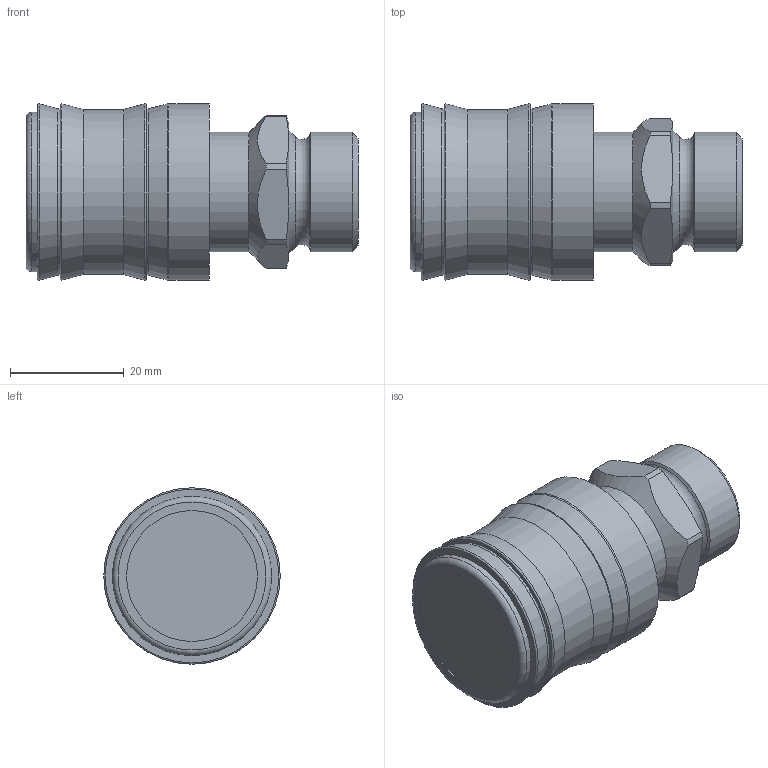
import cadquery as cq
import math


SLEEVE_D = 31.0
GRIP_D = 29.0
NOSE_D = 28.0
PLUG_D = 23.0
RELIEF_D = 29.25

NOSE_FILLET = 1.0
RIM_1_FACE = 2.0
RIM_2_FACE = 6.0
RIM_3_FACE = 21.15
RELIEF_3_END = 21.5
BAND_START = 24.95
BAND_BLEND_RADIUS = 1.3
SLEEVE_END = 32.2
RIM_RADIUS = 0.25
RIM_SLOPE = math.radians(15)
PLUG_RECESS = 0.1

NECK_D = 21.0
HEX_SIDES = 6
HEX_ACROSS_FLATS = 24.0
HEX_CORNER_D = 27.1
HEX_TURN = 10.4
HEX_START = 39.15
HEX_END = 46.2
HEX_END_FACE_D = 23.6
HEX_END_SLOPE = math.radians(15)

THREAD_D = 20.95
THREAD_START = 50.05
THREAD_CHAMFER = 1.0
GROOVE_D = 18.45
GROOVE_RADIUS = 1.6
GROOVE_HEX_FLANK = math.radians(45)
GROOVE_THREAD_FLANK = math.radians(60)
TOTAL_LENGTH = 58.33


def revolve_about_x(profile):
    """Close an (x, radius) outline and spin it fully about the X axis."""
    return profile.close().revolve(360, (0, 0, 0), (1, 0, 0))


def add_rim(profile, face_x, direction):
    """Add a rounded rim: radial face at face_x and a cone falling away in the given X direction.

    Direction +1 draws face to cone, -1 draws cone to face, so the outline always runs along +X.
    """
    centre_x = face_x + direction * RIM_RADIUS
    centre_r = SLEEVE_D / 2 - RIM_RADIUS
    face_point = (face_x, centre_r)
    half_turn = (math.pi / 2 - RIM_SLOPE) / 2
    mid_point = (
        centre_x - direction * RIM_RADIUS * math.sin(half_turn),
        centre_r + RIM_RADIUS * math.cos(half_turn),
    )
    cone_point = (
        centre_x + direction * RIM_RADIUS * math.sin(RIM_SLOPE),
        centre_r + RIM_RADIUS * math.cos(RIM_SLOPE),
    )
    if direction > 0:
        return profile.lineTo(*face_point).threePointArc(mid_point, cone_point)
    return profile.lineTo(*cone_point).threePointArc(mid_point, face_point)


def cone_run(face_x, direction, end_radius):
    """X position at which the cone of a rim has fallen to end_radius."""
    cone_x = face_x + direction * RIM_RADIUS * (1 + math.sin(RIM_SLOPE))
    cone_r = SLEEVE_D / 2 - RIM_RADIUS * (1 - math.cos(RIM_SLOPE))
    return cone_x + direction * (cone_r - end_radius) / math.tan(RIM_SLOPE)


def make_sleeve():
    """Sleeve with a shallow end recess, three rounded rims, a waisted grip and a plain band."""
    nose_r = NOSE_D / 2
    grip_r = GRIP_D / 2
    relief_r = RELIEF_D / 2
    band_r = SLEEVE_D / 2
    fillet_mid = NOSE_FILLET * (1 - math.cos(math.pi / 4))
    band_slope = math.atan((band_r - relief_r) / (BAND_START - RELIEF_3_END))
    blend = BAND_BLEND_RADIUS * math.tan(band_slope / 2)
    blend_start = (BAND_START - blend * math.cos(band_slope), band_r - blend * math.sin(band_slope))
    blend_end = (BAND_START + blend, band_r)
    blend_mid = (
        blend_end[0] - BAND_BLEND_RADIUS * math.sin(band_slope / 2),
        band_r - BAND_BLEND_RADIUS * (1 - math.cos(band_slope / 2)),
    )

    profile = (
        cq.Workplane("XY")
        .moveTo(PLUG_RECESS, 0)
        .lineTo(PLUG_RECESS, PLUG_D / 2)
        .lineTo(0, PLUG_D / 2)
        .lineTo(0, nose_r - NOSE_FILLET)
        .threePointArc((fillet_mid, nose_r - fillet_mid), (NOSE_FILLET, nose_r))
        .lineTo(RIM_1_FACE, nose_r)
    )
    profile = add_rim(profile, RIM_1_FACE, 1)
    profile = profile.lineTo(cone_run(RIM_1_FACE, 1, relief_r), relief_r).lineTo(RIM_2_FACE, relief_r)
    profile = add_rim(profile, RIM_2_FACE, 1)
    profile = profile.lineTo(cone_run(RIM_2_FACE, 1, grip_r), grip_r)
    profile = profile.lineTo(cone_run(RIM_3_FACE, -1, grip_r), grip_r)
    profile = add_rim(profile, RIM_3_FACE, -1)
    profile = (
        profile.lineTo(RIM_3_FACE, relief_r)
        .lineTo(RELIEF_3_END, relief_r)
        .lineTo(*blend_start)
        .threePointArc(blend_mid, blend_end)
        .lineTo(SLEEVE_END, band_r)
        .lineTo(SLEEVE_END, 0)
    )
    return revolve_about_x(profile)


def make_stem():
    """Neck, relief groove and plain cylinder for the thread, chamfered at its end."""
    neck_r = NECK_D / 2
    thread_r = THREAD_D / 2
    groove_r = GROOVE_D / 2
    left_angle = GROOVE_HEX_FLANK
    right_angle = GROOVE_THREAD_FLANK
    right_r = groove_r + GROOVE_RADIUS * (1 - math.cos(right_angle))
    right_x = THREAD_START - (thread_r - right_r) / math.tan(right_angle)
    bottom_x = right_x - GROOVE_RADIUS * math.sin(right_angle)
    left_x = bottom_x - GROOVE_RADIUS * math.sin(left_angle)
    left_r = groove_r + GROOVE_RADIUS * (1 - math.cos(left_angle))
    flank_top_r = left_r + (left_x - HEX_END) * math.tan(left_angle)
    profile = (
        cq.Workplane("XY")
        .moveTo(SLEEVE_END, 0)
        .lineTo(SLEEVE_END, neck_r)
        .lineTo(HEX_END, neck_r)
        .lineTo(HEX_END, flank_top_r)
        .lineTo(left_x, left_r)
        .threePointArc((bottom_x, groove_r), (right_x, right_r))
        .lineTo(THREAD_START, thread_r)
        .lineTo(TOTAL_LENGTH - THREAD_CHAMFER, thread_r)
        .lineTo(TOTAL_LENGTH, thread_r - THREAD_CHAMFER)
        .lineTo(TOTAL_LENGTH, 0)
    )
    return revolve_about_x(profile)


def make_hexagon():
    """Hexagon bar with its corners turned down and both ends chamfered."""
    neck_r = NECK_D / 2
    corner_r = HEX_CORNER_D / 2
    end_face_r = HEX_END_FACE_D / 2
    bar = (
        cq.Workplane("YZ", origin=(HEX_START, 0, 0))
        .polygon(HEX_SIDES, HEX_ACROSS_FLATS, circumscribed=True)
        .extrude(HEX_END - HEX_START)
        .rotate((0, 0, 0), (1, 0, 0), HEX_TURN)
    )
    envelope = revolve_about_x(
        cq.Workplane("XY")
        .moveTo(HEX_START, 0)
        .lineTo(HEX_START, neck_r)
        .lineTo(HEX_START + corner_r - neck_r, corner_r)
        .lineTo(HEX_END - (corner_r - end_face_r) * math.tan(HEX_END_SLOPE), corner_r)
        .lineTo(HEX_END, end_face_r)
        .lineTo(HEX_END, 0)
    )
    return bar.intersect(envelope)


result = make_sleeve().union(make_stem()).union(make_hexagon())